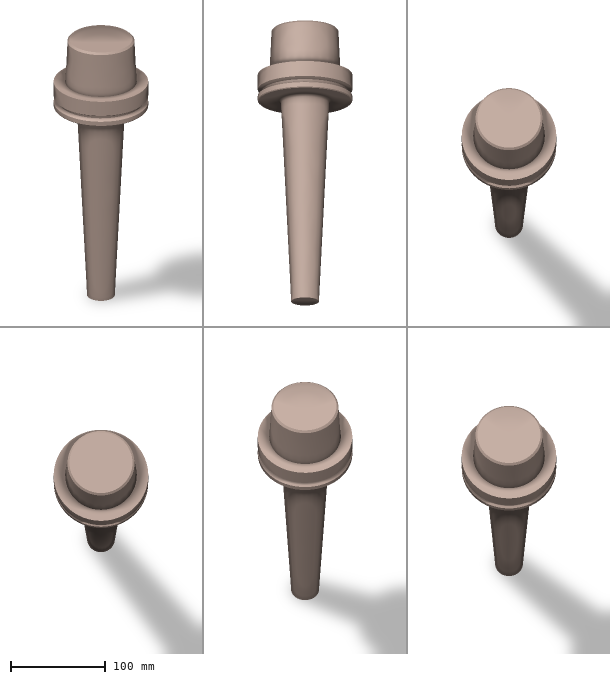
import cadquery as cq

total_height = 300.0
flange_diameter = 100.0
shank_height = 49.8
flange_height = 29.0

shank_base_radius = 37.8
shank_top_radius = 35.5
shank_chamfer_width = 2.0
shank_chamfer_height = 2.0

groove_start = 16.5
groove_opening = 7.0
groove_floor_width = 2.5
groove_depth = 4.0
flange_edge_chamfer = 1.0

nose_tip_radius = 14.7
nose_root_radius = 25.5
root_fillet_radius = 2.7

flange_radius = flange_diameter / 2
flange_top = total_height - shank_height
flange_bottom = flange_top - flange_height
shank_chamfer_start = total_height - shank_chamfer_height
groove_top = flange_top - groove_start
groove_bottom = groove_top - groove_opening
groove_middle = (groove_top + groove_bottom) / 2
groove_radius = flange_radius - groove_depth


def revolve_profile(profile):
    """Close a radius-height outline and spin it around the Z axis."""
    return profile.close().revolve(360, (0, 0, 0), (0, 1, 0))


def make_shank():
    profile = (
        cq.Workplane("XZ")
        .moveTo(0, flange_top)
        .lineTo(shank_base_radius, flange_top)
        .lineTo(shank_top_radius, shank_chamfer_start)
        .lineTo(shank_top_radius - shank_chamfer_width, total_height)
        .lineTo(0, total_height)
    )
    return revolve_profile(profile)


def make_flange():
    flange = (
        cq.Workplane("XY")
        .workplane(offset=flange_bottom)
        .circle(flange_radius)
        .extrude(flange_height)
        .faces("<Z")
        .chamfer(flange_edge_chamfer)
    )
    groove = (
        cq.Workplane("XZ")
        .moveTo(flange_radius, groove_top)
        .lineTo(groove_radius, groove_middle + groove_floor_width / 2)
        .lineTo(groove_radius, groove_middle - groove_floor_width / 2)
        .lineTo(flange_radius, groove_bottom)
    )
    return flange.cut(revolve_profile(groove))


def make_nose():
    flare_end = flange_bottom - root_fillet_radius
    profile = (
        cq.Workplane("XZ")
        .moveTo(0, 0)
        .lineTo(nose_tip_radius, 0)
        .lineTo(nose_root_radius, flare_end)
        .radiusArc((nose_root_radius + root_fillet_radius, flange_bottom), root_fillet_radius)
        .lineTo(0, flange_bottom)
    )
    return revolve_profile(profile)


result = make_nose().union(make_flange()).union(make_shank())